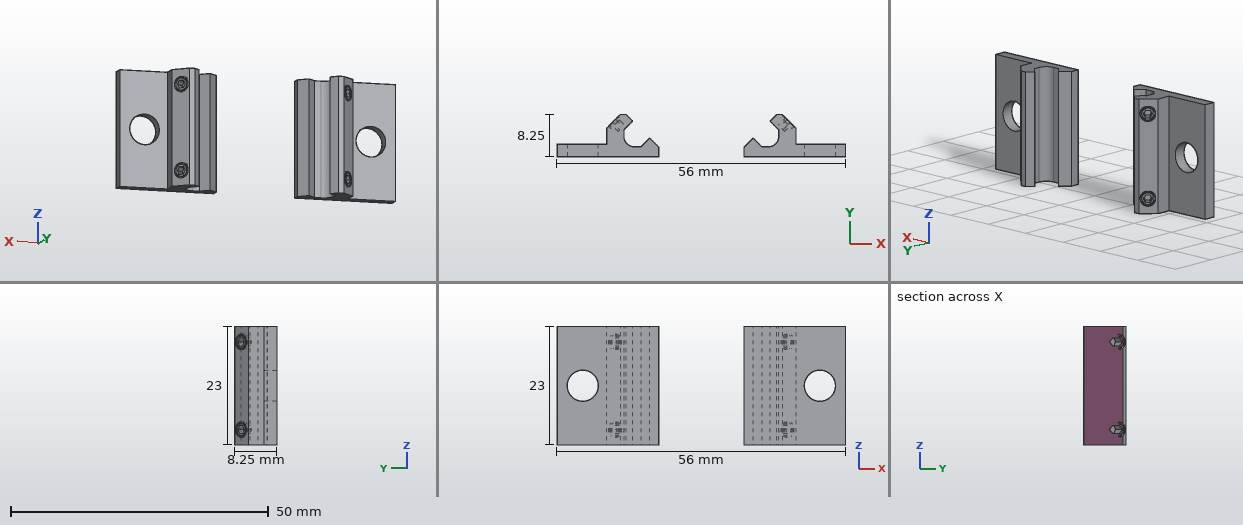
import cadquery as cq
import math

pair_span = 56.0
bracket_width = 19.75
bracket_height = 23.0
plate_thickness = 2.5
hook_depth = 8.25

inner_edge = pair_span / 2 - bracket_width
lip_height = 1.9
slot_floor = 2.0
slot_back_reach = 6.75
slot_leg = 3.27
slot_corner_radius = 2.0
hook_back_reach = 10.12
hook_top_reach = 7.45

mount_hole_diameter = 6.0
mount_hole_from_outer_edge = 5.0

screw_diameter = 3.0
screw_head_diameter = 2.4
screw_gap_depth = 0.6
socket_across_flats = 1.5
socket_depth = 2.0
screw_from_end = 3.0
screw_axis_depth = 7.0

mount_hole_x = pair_span / 2 - mount_hole_from_outer_edge
hook_back_height = hook_depth - (hook_back_reach - hook_top_reach)


def bracket_blank():
    """Plate and hook, extruded along Z; every sloped side runs at 45 degrees."""
    slot_floor_end = slot_back_reach - slot_leg
    slot_wall_end = slot_floor + slot_leg
    lip_peak_reach = (slot_floor_end + slot_floor - lip_height) / 2
    tip_reach = (slot_back_reach + slot_wall_end - lip_height) / 2
    arc_inset = slot_corner_radius * (1 - math.sqrt(0.5))

    def at(reach, depth):
        return (inner_edge + reach, depth)

    return (
        cq.Workplane("XY")
        .moveTo(*at(0, 0))
        .lineTo(*at(0, lip_height))
        .lineTo(*at(lip_peak_reach, lip_height + lip_peak_reach))
        .lineTo(*at(slot_floor_end, slot_floor))
        .lineTo(*at(slot_back_reach - slot_corner_radius, slot_floor))
        .threePointArc(
            at(slot_back_reach - arc_inset, slot_floor + arc_inset),
            at(slot_back_reach, slot_floor + slot_corner_radius),
        )
        .lineTo(*at(slot_back_reach, slot_wall_end))
        .lineTo(*at(tip_reach, lip_height + tip_reach))
        .lineTo(*at(hook_depth - lip_height, hook_depth))
        .lineTo(*at(hook_top_reach, hook_depth))
        .lineTo(*at(hook_back_reach, hook_back_height))
        .lineTo(*at(hook_back_reach, plate_thickness))
        .lineTo(*at(bracket_width, plate_thickness))
        .lineTo(*at(bracket_width, 0))
        .close()
        .extrude(bracket_height)
    )


def mount_hole():
    return (
        cq.Workplane("XZ", origin=(mount_hole_x, 0, bracket_height / 2))
        .circle(mount_hole_diameter / 2)
        .extrude(-plate_thickness)
    )


def screw_recess(z):
    """Ring gap around a screw head and the hex socket in it, cut square to the sloped back."""
    reach = hook_back_reach - (screw_axis_depth - hook_back_height)
    face = cq.Plane(
        origin=(inner_edge + reach, screw_axis_depth, z),
        xDir=(0, 0, 1),
        normal=(1, 1, 0),
    )
    gap = (
        cq.Workplane(face)
        .circle(screw_diameter / 2)
        .circle(screw_head_diameter / 2)
        .extrude(-screw_gap_depth)
    )
    socket = (
        cq.Workplane(face)
        .polygon(6, socket_across_flats, circumscribed=True)
        .extrude(-socket_depth)
    )
    return gap.union(socket)


def bracket():
    body = bracket_blank().cut(mount_hole())
    for z in (screw_from_end, bracket_height - screw_from_end):
        body = body.cut(screw_recess(z))
    return body


right_bracket = bracket()
left_bracket = right_bracket.mirror("YZ")

result = cq.Compound.makeCompound([left_bracket.val(), right_bracket.val()])